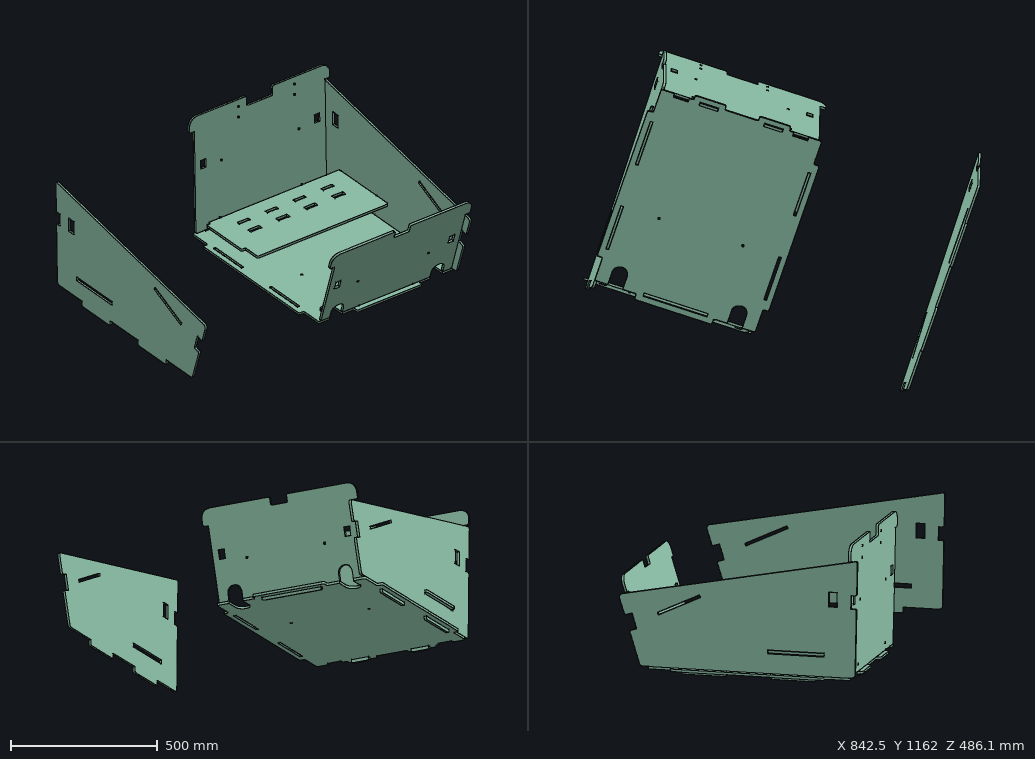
import cadquery as cq
import math

SHEET = 9.0
INNER_HALF_WIDTH = 280.0
OUTER_HALF_WIDTH = INNER_HALF_WIDTH + SHEET
SMALL_RADIUS = 6.0
SCREW_HOLE = 7.0

LEFT_TILT = 1.2
LEFT_FOOT = -393.0
RIGHT_TILT = 17.0
RIGHT_FOOT = 321.0
WING_HALF_WIDTH = 301.0
WING_RADIUS = 35.0
LEFT_HEIGHT = 465.0
LEFT_WING_BOTTOM = 407.0
LEFT_GRIP_HALF_WIDTH = 56.0
LEFT_GRIP_BOTTOM = 426.0
RIGHT_HEIGHT = 327.0
RIGHT_WING_BOTTOM = 266.0
RIGHT_GRIP_HALF_WIDTH = 33.0
RIGHT_GRIP_BOTTOM = 297.0

LEFT_TAB_Y = 116.0
LEFT_TAB_HALF_WIDTH = 34.0
LEFT_TAB_LENGTH = 21.0
RIGHT_TAB_HALF_WIDTH = 115.0
RIGHT_TAB_LENGTH = 19.0

LATCH_HOLE = (22.0, 33.0)
LATCH_HOLE_Y = 244.0
LEFT_LATCH_HEIGHT = 265.0
RIGHT_LATCH_HEIGHT = 163.0

LEFT_UPPER_HOLES_Y = (150.0, -91.0)
LEFT_UPPER_HOLES_HEIGHT = (436.0, 394.0)
LEFT_MIDDLE_HOLES = (166.0, 251.0)
LEFT_LOWER_HOLES = (175.0, 25.0)
BASE_HOLES_X = 43.0
SPACED_HOLES_Y = 151.0
RIGHT_HOLES_HEIGHT = 136.0

PORT_Y = 215.0
PORT_RADIUS = 27.0
PORT_START_X = 248.0
PORT_HEIGHT = 51.0

SIDE_LOBE = (-307.0, 236.0)
SIDE_LOBE_HALF_WIDTH = 309.0
LEFT_LOBE_X = -409.0
LEFT_LOBE_HALF_WIDTH = 56.0
RIGHT_LOBE_X = 342.0
RIGHT_LOBE_HALF_WIDTH = 140.0
LEFT_CUTOUT_X = -380.0

SIDE_TAB_CENTERS = (-194.0, 121.0)
SIDE_TAB_WIDTH = 159.0
SIDE_TAB_LENGTH = 20.3
SIDE_LEFT_MARGIN = 20.0
SIDE_LEFT_TOP = 409.0
SIDE_RIGHT_FOOT = 347.0
SIDE_RIGHT_TILT = 17.5
SIDE_TOP_SLOPE = 10.9
LEFT_NOTCH = (242.0, 288.0)
RIGHT_NOTCH = (135.0, 190.0)
WINDOW = (-350.0, -320.0, 245.0, 296.0)
SLANTED_SLOT_CENTER = (210.0, 221.0)
SLANTED_SLOT_LENGTH = 164.0
SLANTED_SLOT_ANGLE = 25.0
REMOVED_PANEL_Y = SIDE_LOBE_HALF_WIDTH - 1162.0

SHELF_X = (-311.0, -36.0)
SHELF_TOP = 83.0
SHELF_TAB_X = (-303.0, -105.0)
SHELF_TAB_HALF_WIDTH = 296.0
SHELF_SLOT_BOTTOM = 69.0
SHELF_WINDOWS = ((-245.8, 13.0), (-184.0, 17.0))
SHELF_WINDOW_LENGTH = 46.0
SHELF_WINDOW_PITCH = 120.0


def rounded_plate(plane, corners, thickness):
    """Plate whose outline runs through (x, y, radius) corners, each rounded by its own radius."""
    starts, middles, ends = [], [], []
    for i, (x, y, radius) in enumerate(corners):
        corner = cq.Vector(x, y)
        to_last = (cq.Vector(*corners[i - 1][:2]) - corner).normalized()
        to_next = (cq.Vector(*corners[(i + 1) % len(corners)][:2]) - corner).normalized()
        half_angle = to_last.getAngle(to_next) / 2
        cut = radius / math.tan(half_angle)
        bulge = radius / math.sin(half_angle) - radius
        starts.append(corner + to_last * cut)
        middles.append(corner + (to_last + to_next).normalized() * bulge)
        ends.append(corner + to_next * cut)
    outline = cq.Workplane(plane).moveTo(ends[-1].x, ends[-1].y)
    for (_, _, radius), start, middle, end in zip(corners, starts, middles, ends):
        outline = outline.lineTo(start.x, start.y)
        if radius > 0:
            outline = outline.threePointArc((middle.x, middle.y), (end.x, end.y))
    return outline.close().extrude(thickness)


def mirrored(half):
    """Closed outline from its half on the positive side of the first axis."""
    return half + [(-x, y, radius) for x, y, radius in reversed(half)]


def box(x_range, y_range, z_range):
    size = [high - low for low, high in (x_range, y_range, z_range)]
    return cq.Workplane("XY").box(*size, centered=False).translate((x_range[0], y_range[0], z_range[0]))


def tilted_plane(foot, tilt):
    """Plane through an end panel's outer face: first axis +Y, second axis up, tilted towards +X."""
    angle = math.radians(tilt)
    return cq.Plane(
        origin=(foot, 0, 0), xDir=(0, 1, 0), normal=(math.cos(angle), 0, -math.sin(angle))
    )


def pierce(plate, plane, cutter):
    """Cut a sketch placed on the plane straight through the plate."""
    return plate.cut(cutter(cq.Workplane(plane)).extrude(2 * SHEET, both=True))


LEFT_PLANE = tilted_plane(LEFT_FOOT, -LEFT_TILT)
RIGHT_PLANE = tilted_plane(RIGHT_FOOT, RIGHT_TILT)


def wing_corners(wing_bottom, height, grip_half_width, grip_bottom):
    """Upper half outline of an end panel: wing resting on the side panel, top edge, hand grip."""
    return [
        (INNER_HALF_WIDTH, wing_bottom, 0),
        (WING_HALF_WIDTH, wing_bottom, SMALL_RADIUS),
        (WING_HALF_WIDTH, height, WING_RADIUS),
        (grip_half_width, height, SMALL_RADIUS),
        (grip_half_width, grip_bottom, SMALL_RADIUS),
    ]


def make_left_panel():
    tab_inner = LEFT_TAB_Y - LEFT_TAB_HALF_WIDTH
    tab_outer = LEFT_TAB_Y + LEFT_TAB_HALF_WIDTH
    half = [
        (tab_inner, 0, 0),
        (tab_inner, -LEFT_TAB_LENGTH, SMALL_RADIUS),
        (tab_outer, -LEFT_TAB_LENGTH, SMALL_RADIUS),
        (tab_outer, 0, 0),
        (INNER_HALF_WIDTH, 0, SMALL_RADIUS),
    ]
    half += wing_corners(LEFT_WING_BOTTOM, LEFT_HEIGHT, LEFT_GRIP_HALF_WIDTH, LEFT_GRIP_BOTTOM)
    panel = rounded_plate(LEFT_PLANE, mirrored(half), SHEET)
    latches = [(side * LATCH_HOLE_Y, LEFT_LATCH_HEIGHT) for side in (-1, 1)]
    panel = pierce(panel, LEFT_PLANE, lambda face: face.pushPoints(latches).rect(*LATCH_HOLE))
    holes = [(y, height) for y in LEFT_UPPER_HOLES_Y for height in LEFT_UPPER_HOLES_HEIGHT]
    for distance, height in (LEFT_MIDDLE_HOLES, LEFT_LOWER_HOLES):
        holes += [(-distance, height), (distance, height)]
    return pierce(panel, LEFT_PLANE, lambda face: face.pushPoints(holes).circle(SCREW_HOLE / 2))


def make_right_panel():
    half = [
        (RIGHT_TAB_HALF_WIDTH, -RIGHT_TAB_LENGTH, SMALL_RADIUS),
        (RIGHT_TAB_HALF_WIDTH, 0, 0),
        (INNER_HALF_WIDTH, 0, 0),
    ]
    half += wing_corners(RIGHT_WING_BOTTOM, RIGHT_HEIGHT, RIGHT_GRIP_HALF_WIDTH, RIGHT_GRIP_BOTTOM)
    panel = rounded_plate(RIGHT_PLANE, mirrored(half), -SHEET)
    latches = [(side * LATCH_HOLE_Y, RIGHT_LATCH_HEIGHT) for side in (-1, 1)]
    panel = pierce(panel, RIGHT_PLANE, lambda face: face.pushPoints(latches).rect(*LATCH_HOLE))
    holes = [(side * SPACED_HOLES_Y, RIGHT_HOLES_HEIGHT) for side in (-1, 1)]
    panel = pierce(panel, RIGHT_PLANE, lambda face: face.pushPoints(holes).circle(SCREW_HOLE / 2))
    ports = [(side * PORT_Y, 0) for side in (-1, 1)]
    return pierce(
        panel,
        RIGHT_PLANE,
        lambda face: face.pushPoints(ports).slot2D(2 * PORT_HEIGHT, 2 * PORT_RADIUS, 90),
    )


def make_base():
    left_edge = LEFT_FOOT
    right_edge = RIGHT_FOOT
    lobe_inner = LEFT_TAB_Y - LEFT_LOBE_HALF_WIDTH
    lobe_outer = LEFT_TAB_Y + LEFT_LOBE_HALF_WIDTH
    half = [
        (RIGHT_LOBE_X, RIGHT_LOBE_HALF_WIDTH, SMALL_RADIUS),
        (right_edge, RIGHT_LOBE_HALF_WIDTH, SMALL_RADIUS),
        (right_edge, OUTER_HALF_WIDTH, SMALL_RADIUS),
        (SIDE_LOBE[1], OUTER_HALF_WIDTH, SMALL_RADIUS),
        (SIDE_LOBE[1], SIDE_LOBE_HALF_WIDTH, SMALL_RADIUS),
        (SIDE_LOBE[0], SIDE_LOBE_HALF_WIDTH, SMALL_RADIUS),
        (SIDE_LOBE[0], OUTER_HALF_WIDTH, SMALL_RADIUS),
        (left_edge, OUTER_HALF_WIDTH, SMALL_RADIUS),
        (left_edge, PORT_Y + PORT_RADIUS, 0),
        (LEFT_CUTOUT_X, PORT_Y + PORT_RADIUS, 0),
        (LEFT_CUTOUT_X, PORT_Y - PORT_RADIUS, 0),
        (left_edge, PORT_Y - PORT_RADIUS, 0),
        (left_edge, lobe_outer, SMALL_RADIUS),
        (LEFT_LOBE_X, lobe_outer, SMALL_RADIUS),
        (LEFT_LOBE_X, lobe_inner, SMALL_RADIUS),
        (left_edge, lobe_inner, SMALL_RADIUS),
    ]
    outline = half + [(x, -y, radius) for x, y, radius in reversed(half)]
    base = rounded_plate(cq.Plane.XY(), outline, -SHEET)
    through = (-2 * SHEET, SHEET)
    for center in SIDE_TAB_CENTERS:
        slot_x = (center - SIDE_TAB_WIDTH / 2, center + SIDE_TAB_WIDTH / 2)
        base = base.cut(box(slot_x, (INNER_HALF_WIDTH, OUTER_HALF_WIDTH), through))
        base = base.cut(box(slot_x, (-OUTER_HALF_WIDTH, -INNER_HALF_WIDTH), through))
    left_angle = math.radians(LEFT_TILT)
    left_slot_x = (LEFT_FOOT, LEFT_FOOT + SHEET / math.cos(left_angle) + SHEET * math.tan(left_angle))
    for center in (-LEFT_TAB_Y, LEFT_TAB_Y):
        slot_y = (center - LEFT_TAB_HALF_WIDTH, center + LEFT_TAB_HALF_WIDTH)
        base = base.cut(box(left_slot_x, slot_y, through))
    right_angle = math.radians(RIGHT_TILT)
    right_slot_x = (
        RIGHT_FOOT - SHEET / math.cos(right_angle) - SHEET * math.tan(right_angle),
        RIGHT_FOOT,
    )
    base = base.cut(box(right_slot_x, (-RIGHT_TAB_HALF_WIDTH, RIGHT_TAB_HALF_WIDTH), through))
    port_length = 2 * (right_edge - PORT_START_X)
    ports = [(right_edge, side * PORT_Y) for side in (-1, 1)]
    floor = cq.Plane.XY()
    base = pierce(base, floor, lambda face: face.pushPoints(ports).slot2D(port_length, 2 * PORT_RADIUS))
    holes = [(BASE_HOLES_X, side * SPACED_HOLES_Y) for side in (-1, 1)]
    return pierce(base, floor, lambda face: face.pushPoints(holes).circle(SCREW_HOLE / 2))


def make_side_panel(outer_face_y):
    """Side panel filling one sheet thickness in +Y from the given face."""
    plane = cq.Plane(origin=(0, outer_face_y, 0), xDir=(1, 0, 0), normal=(0, -1, 0))
    left_slope = math.tan(math.radians(LEFT_TILT))
    right_slope = math.tan(math.radians(SIDE_RIGHT_TILT))
    top_slope = math.tan(math.radians(SIDE_TOP_SLOPE))

    def left_edge(z):
        return LEFT_FOOT - SIDE_LEFT_MARGIN - left_slope * z

    def left_face(z):
        return LEFT_FOOT - left_slope * z

    right_angle = math.radians(RIGHT_TILT)
    up = (math.sin(right_angle), math.cos(right_angle))
    out = (math.cos(right_angle), -math.sin(right_angle))

    def notch_inner(along):
        return (RIGHT_FOOT + along * up[0], along * up[1])

    def notch_outer(along):
        x, z = notch_inner(along)
        reach = (SIDE_RIGHT_FOOT + right_slope * z - x) / (out[0] - right_slope * out[1])
        return (x + reach * out[0], z + reach * out[1])

    top_left_x = left_edge(SIDE_LEFT_TOP)
    top_right_x = (SIDE_RIGHT_FOOT + right_slope * (SIDE_LEFT_TOP + top_slope * top_left_x)) / (
        1 + right_slope * top_slope
    )
    top_right_z = SIDE_LEFT_TOP - top_slope * (top_right_x - top_left_x)
    notch_low, notch_high = LEFT_NOTCH
    corners = [(left_edge(0), 0, 2 * SMALL_RADIUS)]
    for center in SIDE_TAB_CENTERS:
        start, end = center - SIDE_TAB_WIDTH / 2, center + SIDE_TAB_WIDTH / 2
        corners += [
            (start, 0, 0),
            (start, -SIDE_TAB_LENGTH, SMALL_RADIUS),
            (end, -SIDE_TAB_LENGTH, SMALL_RADIUS),
            (end, 0, 0),
        ]
    corners += [
        (SIDE_RIGHT_FOOT, 0, 2 * SMALL_RADIUS),
        (*notch_outer(RIGHT_NOTCH[0]), SMALL_RADIUS),
        (*notch_inner(RIGHT_NOTCH[0]), 0),
        (*notch_inner(RIGHT_NOTCH[1]), 0),
        (*notch_outer(RIGHT_NOTCH[1]), SMALL_RADIUS),
        (top_right_x, top_right_z, 2 * SMALL_RADIUS),
        (top_left_x, SIDE_LEFT_TOP, SMALL_RADIUS),
        (left_edge(notch_high), notch_high, SMALL_RADIUS),
        (left_face(notch_high), notch_high, 0),
        (left_face(notch_low), notch_low, 0),
        (left_edge(notch_low), notch_low, SMALL_RADIUS),
    ]
    panel = rounded_plate(plane, corners, -SHEET)
    depth = (outer_face_y - SHEET, outer_face_y + 2 * SHEET)
    panel = panel.cut(box(WINDOW[:2], depth, WINDOW[2:]))
    panel = panel.cut(box(SHELF_TAB_X, depth, (SHELF_SLOT_BOTTOM, SHELF_TOP)))
    return pierce(
        panel,
        plane,
        lambda face: face.center(*SLANTED_SLOT_CENTER)
        .transformed(rotate=(0, 0, -SLANTED_SLOT_ANGLE))
        .rect(SLANTED_SLOT_LENGTH, SHEET),
    )


def make_shelf():
    half = [
        (SHELF_X[1], INNER_HALF_WIDTH, SMALL_RADIUS),
        (SHELF_TAB_X[1], INNER_HALF_WIDTH, 0),
        (SHELF_TAB_X[1], SHELF_TAB_HALF_WIDTH, SMALL_RADIUS),
        (SHELF_TAB_X[0], SHELF_TAB_HALF_WIDTH, SMALL_RADIUS),
        (SHELF_TAB_X[0], INNER_HALF_WIDTH, 0),
        (SHELF_X[0], INNER_HALF_WIDTH, 0),
    ]
    outline = half + [(x, -y, radius) for x, y, radius in reversed(half)]
    plane = cq.Plane(origin=(0, 0, SHELF_TOP))
    shelf = rounded_plate(plane, outline, -SHEET)
    for x, width in SHELF_WINDOWS:
        places = [(x, (row - 1.5) * SHELF_WINDOW_PITCH) for row in range(4)]
        shelf = pierce(
            shelf, plane, lambda face: face.pushPoints(places).rect(width, SHELF_WINDOW_LENGTH)
        )
    return shelf


base = make_base()
left_panel = make_left_panel()
right_panel = make_right_panel()
shelf = make_shelf()
side_panels = [make_side_panel(face_y) for face_y in (INNER_HALF_WIDTH, REMOVED_PANEL_Y)]

result = cq.Compound.makeCompound(
    [base.val(), left_panel.val(), right_panel.val(), shelf.val(), *[panel.val() for panel in side_panels]]
)